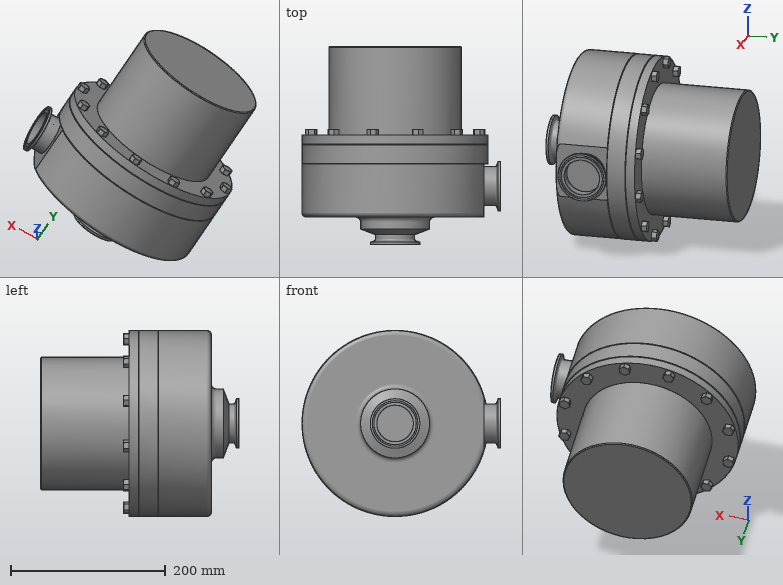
import cadquery as cq
import math

LENGTH = 256.16

BODY_RADIUS = 120.27
FACE_Y = 35.4
FACE_FILLET = 6.35
CASING_END_Y = 104.3
BACKPLATE_END_Y = 129.3
FLANGE_END_Y = 141.8
FLAT_X = 114.8

JOINT_WIDTH = 0.8
JOINT_DEPTH = 0.4

MOTOR_RADIUS = 85.7
MOTOR_CHAMFER = 1.3

HUB_RADIUS = 44.6
HUB_FILLET = 6.35
HUB_END_Y = 20.2
CONE_END_Y = 13.0

PIPE_RADIUS = 25.4
CONE_STEP = 0.5
BORE_RADIUS = 23.6
BORE_DEPTH = 12.7
RIM_RADIUS = 32.0
RIM_THICKNESS = 3.1
NECK_RADIUS = 27.0
NECK_Y = 4.9
NECK_END_Y = 6.7
SEAL_RADIUS = 28.4
SEAL_HALF_WIDTH = 1.0
SEAL_DEPTH = 1.0

OUTLET_TIP_X = 136.22
OUTLET_Y = 75.7

BOLT_COUNT = 12
BOLT_CIRCLE_RADIUS = 112.4
BOLT_START_ANGLE = 15.0
HEX_TURN = 8.0
HEX_ACROSS_CORNERS = 15.0
HEX_HEIGHT = 7.0

ARC_MID_FRACTION = 1 - math.sqrt(0.5)


def revolve_about_y(profile):
    """Turn a closed profile of (radius, Y) points about the Y axis."""
    return profile.close().revolve(360, (0, 0, 0), (0, 1, 0))


def make_body():
    """Casing, backplate and flange as one drum with a rounded front rim."""
    arc_inset = FACE_FILLET * ARC_MID_FRACTION
    drum = revolve_about_y(
        cq.Workplane("XY")
        .moveTo(0, FACE_Y)
        .lineTo(BODY_RADIUS - FACE_FILLET, FACE_Y)
        .threePointArc((BODY_RADIUS - arc_inset, FACE_Y + arc_inset), (BODY_RADIUS, FACE_Y + FACE_FILLET))
        .lineTo(BODY_RADIUS, FLANGE_END_Y)
        .lineTo(0, FLANGE_END_Y)
    )
    return drum.cut(make_outlet_flat())


def make_outlet_flat():
    """Block that trims the casing to a flat on its outlet side."""
    block = cq.Workplane("XY").box(
        BODY_RADIUS, CASING_END_Y, 2 * BODY_RADIUS, centered=(False, False, True)
    )
    return block.translate((FLAT_X, 0, 0))


def make_joint_groove(joint_y):
    """Ring that cuts a shallow groove centred on a joint."""
    return revolve_about_y(
        cq.Workplane("XY")
        .moveTo(BODY_RADIUS - JOINT_DEPTH, joint_y - JOINT_WIDTH / 2)
        .lineTo(BODY_RADIUS + JOINT_DEPTH, joint_y - JOINT_WIDTH / 2)
        .lineTo(BODY_RADIUS + JOINT_DEPTH, joint_y + JOINT_WIDTH / 2)
        .lineTo(BODY_RADIUS - JOINT_DEPTH, joint_y + JOINT_WIDTH / 2)
    )


def make_motor():
    """Plain cylinder with a chamfered far end."""
    return revolve_about_y(
        cq.Workplane("XY")
        .moveTo(0, FLANGE_END_Y)
        .lineTo(MOTOR_RADIUS, FLANGE_END_Y)
        .lineTo(MOTOR_RADIUS, LENGTH - MOTOR_CHAMFER)
        .lineTo(MOTOR_RADIUS - MOTOR_CHAMFER, LENGTH)
        .lineTo(0, LENGTH)
    )


def make_hub():
    """Cone and hub, blended into the casing face with a concave fillet."""
    arc_inset = HUB_FILLET * ARC_MID_FRACTION
    return revolve_about_y(
        cq.Workplane("XY")
        .moveTo(0, CONE_END_Y)
        .lineTo(PIPE_RADIUS + CONE_STEP, CONE_END_Y)
        .lineTo(HUB_RADIUS, HUB_END_Y)
        .lineTo(HUB_RADIUS, FACE_Y - HUB_FILLET)
        .threePointArc((HUB_RADIUS + arc_inset, FACE_Y - arc_inset), (HUB_RADIUS + HUB_FILLET, FACE_Y))
        .lineTo(0, FACE_Y)
    )


def make_ferrule(length):
    """Clamp ferrule with its face at Y = 0 and its pipe running towards +Y."""
    mid_radius = (PIPE_RADIUS * 2 + NECK_RADIUS) / 3
    mid_y = (NECK_Y * 2 + NECK_END_Y) / 3
    return revolve_about_y(
        cq.Workplane("XY")
        .lineTo(SEAL_RADIUS - SEAL_HALF_WIDTH, 0)
        .threePointArc((SEAL_RADIUS, SEAL_DEPTH), (SEAL_RADIUS + SEAL_HALF_WIDTH, 0))
        .lineTo(RIM_RADIUS, 0)
        .lineTo(RIM_RADIUS, RIM_THICKNESS)
        .lineTo(NECK_RADIUS, NECK_Y)
        .threePointArc((mid_radius, mid_y), (PIPE_RADIUS, NECK_END_Y))
        .lineTo(PIPE_RADIUS, length)
        .lineTo(0, length)
    )


def make_bore():
    """Blind bore that starts at a ferrule face."""
    return revolve_about_y(
        cq.Workplane("XY")
        .lineTo(BORE_RADIUS, 0)
        .lineTo(BORE_RADIUS, BORE_DEPTH)
        .lineTo(0, BORE_DEPTH)
    )


def place_at_outlet(shape):
    """Move a shape from the inlet position to the outlet on the +X side."""
    turned = shape.rotate((0, 0, 0), (0, 0, 1), 90)
    return turned.translate((OUTLET_TIP_X, OUTLET_Y, 0))


def make_bolt_head(angle):
    """Hexagon head on the back of the flange, at an angle from +X towards +Z."""
    head = (
        cq.Workplane("XZ")
        .polygon(6, HEX_ACROSS_CORNERS)
        .extrude(-HEX_HEIGHT)
        .rotate((0, 0, 0), (0, 1, 0), -HEX_TURN)
    )
    placed = head.translate((BOLT_CIRCLE_RADIUS, FLANGE_END_Y, 0))
    return placed.rotate((0, 0, 0), (0, 1, 0), -angle)


result = make_body().union(make_motor()).union(make_hub())
for joint in (CASING_END_Y, BACKPLATE_END_Y):
    result = result.cut(make_joint_groove(joint))

result = result.union(make_ferrule(FACE_Y))
result = result.union(place_at_outlet(make_ferrule(OUTLET_TIP_X - FLAT_X)))
result = result.cut(make_bore()).cut(place_at_outlet(make_bore()))

for index in range(BOLT_COUNT):
    result = result.union(make_bolt_head(BOLT_START_ANGLE + index * 360 / BOLT_COUNT))